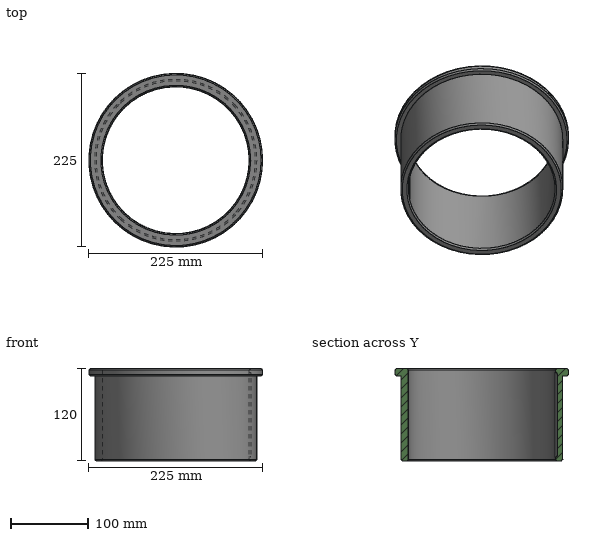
import cadquery as cq

bore_diameter = 190.0
sleeve_diameter = 210.0
flange_diameter = 225.0
total_height = 120.0
flange_thickness = 10.0
chamfer_size = 2.0
groove_radius = 2.5
groove_end_margin = 5.0


def make_body():
    """Sleeve with a flange at its top end."""
    sleeve = cq.Workplane("XY").circle(sleeve_diameter / 2).extrude(total_height)
    flange = (
        cq.Workplane("XY")
        .workplane(offset=total_height - flange_thickness)
        .circle(flange_diameter / 2)
        .extrude(flange_thickness)
    )
    return sleeve.union(flange)


def chamfer_outer_edges(body):
    """Break both flange rims and the lower rim of the sleeve."""
    body = body.edges(cq.selectors.RadiusNthSelector(-1)).chamfer(chamfer_size)
    return body.faces("<Z").edges().chamfer(chamfer_size)


def make_bore():
    """Through bore with a chamfered mouth at each end."""
    bore_radius = bore_diameter / 2
    mouth_radius = bore_radius + chamfer_size
    return (
        cq.Workplane("XZ")
        .moveTo(0, 0)
        .lineTo(mouth_radius, 0)
        .lineTo(bore_radius, chamfer_size)
        .lineTo(bore_radius, total_height - chamfer_size)
        .lineTo(mouth_radius, total_height)
        .lineTo(0, total_height)
        .close()
        .revolve(360, (0, 0, 0), (0, 1, 0))
    )


def make_groove():
    """Ball-ended lubrication groove along the +X side of the bore, closed at both ends."""
    lower_centre = groove_end_margin + groove_radius
    upper_centre = total_height - lower_centre
    return (
        cq.Workplane("XZ")
        .center(bore_diameter / 2, 0)
        .moveTo(0, groove_end_margin)
        .radiusArc((groove_radius, lower_centre), -groove_radius)
        .lineTo(groove_radius, upper_centre)
        .radiusArc((0, upper_centre + groove_radius), -groove_radius)
        .close()
        .revolve(360, (0, 0, 0), (0, 1, 0))
    )


result = chamfer_outer_edges(make_body()).cut(make_bore()).cut(make_groove())